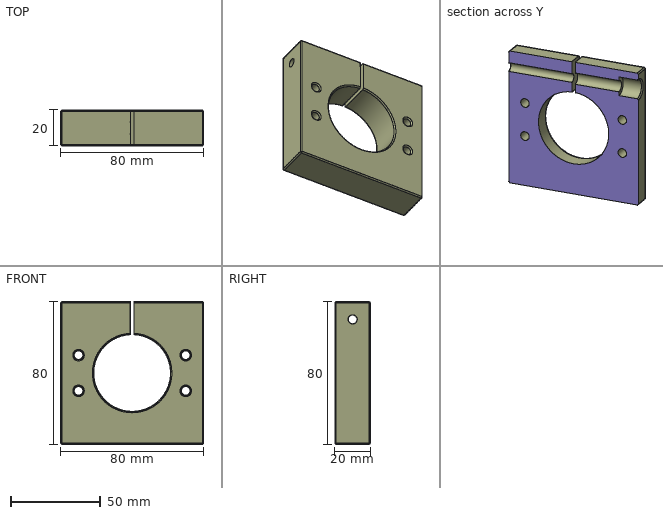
import cadquery as cq

side = 80.0
thickness = 20.0
chamfer = 0.75

bore_diameter = 43.0
slot_width = 2.0

tap_diameter = 4.92
mount_spacing_x = 60.0
mount_spacing_z = 20.0

screw_height = 30.0
head_diameter = 11.0
head_depth = 12.0
clearance_diameter = 6.5

half_side = side / 2
half_thickness = thickness / 2
half_slot = slot_width / 2


def drill(origin, direction, diameter, depth, mouth_chamfer=0.0):
    """Round cutter starting at origin, with an optional 45 degree cone at its mouth."""
    start = cq.Vector(*origin)
    axis = cq.Vector(*direction)
    radius = diameter / 2
    cutter = cq.Workplane(cq.Solid.makeCylinder(radius, depth, start, axis))
    if mouth_chamfer > 0:
        cone = cq.Solid.makeCone(radius + mouth_chamfer, radius, mouth_chamfer, start, axis)
        cutter = cutter.union(cq.Workplane(cone))
    return cutter


def through_hole(x, z, diameter):
    """Cutter along Y through the whole block, chamfered on both faces."""
    front = drill((x, -half_thickness, z), (0, 1, 0), diameter, thickness, chamfer)
    back = drill((x, half_thickness, z), (0, -1, 0), diameter, thickness, chamfer)
    return front.union(back)


def make_block():
    return cq.Workplane("XY").box(side, thickness, side).edges().chamfer(chamfer)


def cut_bore_and_slot(body):
    slot = cq.Workplane("XY").box(slot_width, thickness, half_side, centered=(True, True, False))
    return body.cut(through_hole(0, 0, bore_diameter)).cut(slot)


def cut_mounting_holes(body):
    for x in (-mount_spacing_x / 2, mount_spacing_x / 2):
        for z in (-mount_spacing_z / 2, mount_spacing_z / 2):
            body = body.cut(through_hole(x, z, tap_diameter))
    return body


def cut_clamp_screw(body):
    """Head recess and clearance hole left of the slot, tapped hole right of it."""
    inward = (1, 0, 0)
    entry = (-half_side, 0, screw_height)
    head = drill(entry, inward, head_diameter, head_depth, chamfer)
    clearance = drill(entry, inward, clearance_diameter, half_side)
    tap_start = (half_slot, 0, screw_height)
    tap = drill(tap_start, inward, tap_diameter, half_side - half_slot)
    return body.cut(head).cut(clearance).cut(tap)


result = make_block()
result = cut_bore_and_slot(result)
result = cut_mounting_holes(result)
result = cut_clamp_screw(result)